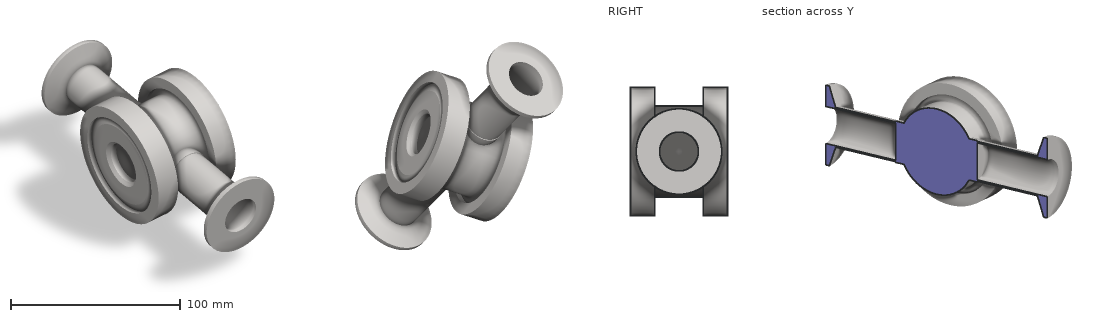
import cadquery as cq
import math

LENGTH = 160.0
WIDTH = 57.5

CONE_ANGLE = 20.0
CONE_SLOPE = math.tan(math.radians(CONE_ANGLE))

BODY_DIAMETER = 54.0
RING_DIAMETER = 76.0
RING_BORE_DIAMETER = 62.0
RING_WIDTH = 14.5
RING_INNER_FACE = WIDTH / 2 - RING_WIDTH

FLANGE_FACE_DIAMETER = 52.0
FLANGE_FACE_RECESS = 1.25
FLANGE_FILLET = 2.0
FLANGE_FACE = WIDTH / 2 - FLANGE_FACE_RECESS
FLANGE_RIM_OUTER = FLANGE_FACE - CONE_SLOPE * (RING_BORE_DIAMETER - FLANGE_FACE_DIAMETER) / 2
FLANGE_RIM_INNER = RING_INNER_FACE + WIDTH / 2 - FLANGE_RIM_OUTER
FLANGE_ROOT = FLANGE_RIM_INNER - CONE_SLOPE * (RING_BORE_DIAMETER - BODY_DIAMETER) / 2

WINDOW_DIAMETER = 25.0
WINDOW_MOUTH_DIAMETER = 29.0
WINDOW_CHAMFER_DEPTH = 2.0
WINDOW_DEPTH = 6.0

PIPE_DIAMETER = 25.4
PIPE_BORE_DIAMETER = 23.0
COLLAR_DIAMETER = 26.3
COLLAR_END = 29.5
FERRULE_DIAMETER = 50.5
FERRULE_RIM_WIDTH = 2.85
FERRULE_CONE_LENGTH = CONE_SLOPE * (FERRULE_DIAMETER - PIPE_DIAMETER) / 2
PIPE_BORE_DEPTH = LENGTH / 2 - COLLAR_END


def revolve_about_y(profile):
    """Revolve a (radius, y) outline about the Y axis."""
    return cq.Workplane("XY").polyline(profile).close().revolve(360, (0, 0, 0), (0, 1, 0))


def revolve_about_x(profile):
    """Revolve an (x, radius) outline about the X axis."""
    return cq.Workplane("XY").polyline(profile).close().revolve(360, (0, 0, 0), (1, 0, 0))


def with_mirror(shape, plane):
    """The shape joined with its mirror image."""
    return shape.union(shape.mirror(plane))


def end_flange():
    """+Y flange: disc coned on both sides, flat on the outside."""
    return revolve_about_y([
        (0, FLANGE_ROOT),
        (BODY_DIAMETER / 2, FLANGE_ROOT),
        (RING_BORE_DIAMETER / 2, FLANGE_RIM_INNER),
        (RING_BORE_DIAMETER / 2, FLANGE_RIM_OUTER),
        (FLANGE_FACE_DIAMETER / 2, FLANGE_FACE),
        (0, FLANGE_FACE),
    ])


def chamber():
    """Barrel with a flange at each end, filleted where barrel and flanges meet."""
    barrel = cq.Workplane("XZ").circle(BODY_DIAMETER / 2).extrude(FLANGE_ROOT, both=True)
    flanged = barrel.union(with_mirror(end_flange(), "XZ"))
    between_flange_rims = cq.selectors.BoxSelector(
        (-BODY_DIAMETER, -FLANGE_RIM_INNER, -BODY_DIAMETER),
        (BODY_DIAMETER, FLANGE_RIM_INNER, BODY_DIAMETER),
    )
    return flanged.edges("%CIRCLE").edges(between_flange_rims).fillet(FLANGE_FILLET)


def window_recess():
    """Round blind recess with a chamfered mouth in the +Y flange face."""
    return revolve_about_y([
        (0, FLANGE_FACE),
        (WINDOW_MOUTH_DIAMETER / 2, FLANGE_FACE),
        (WINDOW_DIAMETER / 2, FLANGE_FACE - WINDOW_CHAMFER_DEPTH),
        (WINDOW_DIAMETER / 2, FLANGE_FACE - WINDOW_DEPTH),
        (0, FLANGE_FACE - WINDOW_DEPTH),
    ])


def ring():
    """Clamping ring around the +Y flange."""
    return revolve_about_y([
        (RING_BORE_DIAMETER / 2, RING_INNER_FACE),
        (RING_DIAMETER / 2, RING_INNER_FACE),
        (RING_DIAMETER / 2, WIDTH / 2),
        (RING_BORE_DIAMETER / 2, WIDTH / 2),
    ])


def pipe():
    """+X side pipe: collar, tube and ferrule."""
    end = LENGTH / 2
    rim_start = end - FERRULE_RIM_WIDTH
    cone_start = rim_start - FERRULE_CONE_LENGTH
    return revolve_about_x([
        (0, 0),
        (0, COLLAR_DIAMETER / 2),
        (COLLAR_END, COLLAR_DIAMETER / 2),
        (COLLAR_END, PIPE_DIAMETER / 2),
        (cone_start, PIPE_DIAMETER / 2),
        (rim_start, FERRULE_DIAMETER / 2),
        (end, FERRULE_DIAMETER / 2),
        (end, 0),
    ])


def pipe_bore():
    """Blind bore entering the +X pipe from its open end."""
    return (
        cq.Workplane("YZ")
        .workplane(offset=LENGTH / 2 - PIPE_BORE_DEPTH)
        .circle(PIPE_BORE_DIAMETER / 2)
        .extrude(PIPE_BORE_DEPTH)
    )


rings = with_mirror(ring(), "XZ")
pipes = with_mirror(pipe(), "YZ")
windows = with_mirror(window_recess(), "XZ")
bores = with_mirror(pipe_bore(), "YZ")
result = chamber().union(rings).union(pipes).cut(windows).cut(bores)